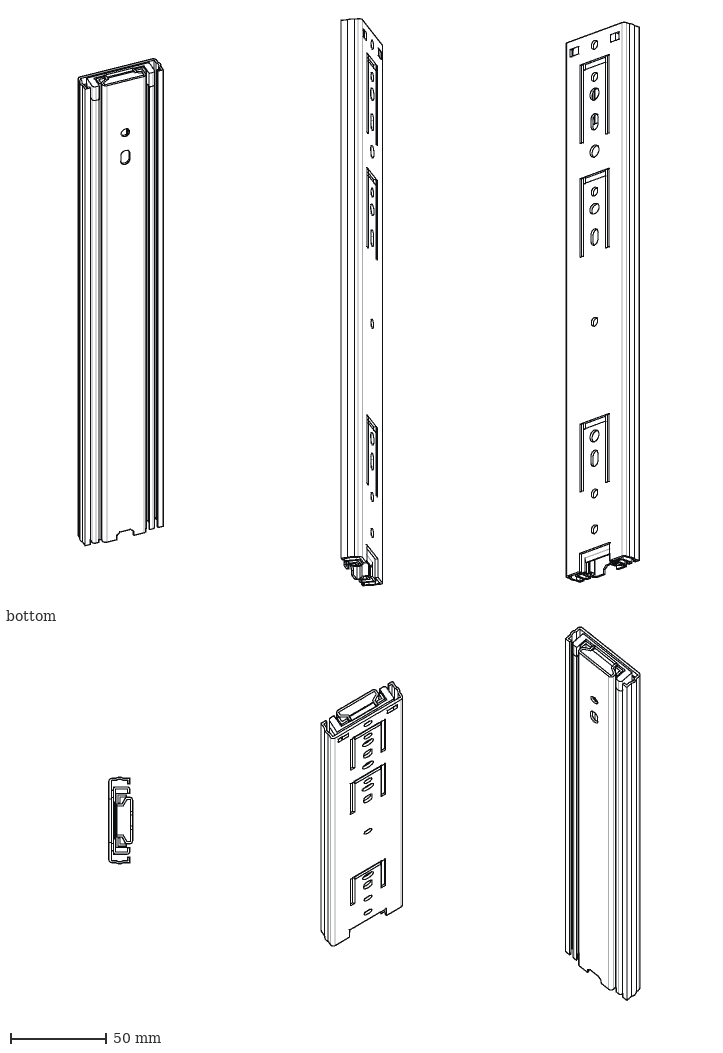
import cadquery as cq

LENGTH = 300.0
TOP = LENGTH / 2
BOTTOM = -LENGTH / 2
SLIDE_WIDTH = 45.5
SLIDE_DEPTH = 12.5
SHEET = 1.2

OUTER_WEB = 1.5
OUTER_HALF_WIDTH = 22.2
BEND_RADIUS = 1.8
BEAD_HALF_WIDTH = SLIDE_WIDTH / 2
BEAD_START = 4.0
BEAD_END = 7.5
FLANGE_END = 11.0
OUTER_LIP_TIP = 19.2

SMALL_HOLES = [143.0, 125.0, 60.5, -12.5, -109.2, -129.3]
SMALL_RADIUS = 2.5
LARGE_HOLES = [115.5, 83.5, -76.8]
LARGE_RADIUS = 3.3
OVAL_HOLE = 51.0
OVAL_LENGTH = 7.0
OVAL_HEIGHT = 5.7
SLOTS = [100.0, 35.0, -89.5]
SLOT_LENGTH = 9.0
SLOT_WIDTH = 5.0

TONGUES = [(134.7, 90.5), (70.8, 26.7), (-67.2, -105.3)]
TONGUE_HALF_WIDTH = 8.0
GROOVE_SLOPE = 1.0
GROOVE_OUTER = 10.8
GROOVE_DEPTH = 1.0
SLIT_HEIGHT = 3.5

WINDOW_INNER = 12.0
WINDOW_OUTER = 18.3
WINDOW_BOTTOM = 141.3
WINDOW_TOP = 145.5
PEG_OUTER = 16.0

OUTER_NOTCH_HALF_WIDTH = 11.5
OUTER_NOTCH_TOP = -139.8

MIDDLE_BACK = 2.5
MIDDLE_HALF_WIDTH = 17.7
MIDDLE_LIP_TIP = 14.5
MIDDLE_CORNER = 1.5
MIDDLE_NOTCH_HALF_WIDTH = 9.5
MIDDLE_NOTCH_TOP = -144.5
MIDDLE_BEVEL_HEIGHT = 2.5
MIDDLE_WINDOW_HALF_WIDTH = 4.8
MIDDLE_WINDOW_TOP = 120.0
MIDDLE_WINDOW_BOTTOM = 100.0

INNER_HALF_WIDTH = 12.3
INNER_CORNER = 1.8
INNER_RACE_END = 9.0
INNER_RACE_START = 7.0
INNER_WAIST = 8.7
INNER_EDGE = 4.2
INNER_HOLE = 116.0
INNER_NOTCH_HALF_WIDTH = 4.8
INNER_NOTCH_TOP = -145.5
INNER_NOTCH_CHAMFER = 1.8

RETAINER_BACK = 4.8
RETAINER_FRONT = 9.3
RETAINER_OUTER = 13.5
RETAINER_BACK_TIP = 9.0

BUMPER_HEIGHT = 9.0
BUMPER_ARM_TIP = 14.0
BUMPER_SHOULDER = 4.0
BUMPER_SHOULDER_TIP = 7.8
STOP_HEIGHT = 17.0
STOP_STEP = 6.5
STOP_STEP_DEPTH = 1.2


def box(x0, x1, y0, y1, z0, z1):
    """Box between two corners."""
    return cq.Workplane("XY").box(x1 - x0, y1 - y0, z1 - z0, centered=False).translate((x0, y0, z0))


def symmetric_bar(half_outline, z0, z1):
    """Bar along Z whose section is the half outline (Y >= 0) and its mirror image."""
    mirrored = [(x, -y) for x, y in reversed(half_outline)]
    outline = cq.Workplane("XY", origin=(0, 0, z0)).polyline(half_outline + mirrored)
    return outline.close().extrude(z1 - z0)


def web_plane():
    """Sketch plane on the back face of the slide, with local axes along Y and Z."""
    return cq.Workplane("YZ")


def round_cutters(heights, radius, depth):
    return web_plane().pushPoints([(0, z) for z in heights]).circle(radius).extrude(depth)


def slot_cutters(heights, depth):
    centres = web_plane().pushPoints([(0, z) for z in heights])
    return centres.slot2D(SLOT_LENGTH, SLOT_WIDTH, 90).extrude(depth)


def outer_hole_cutters():
    """Cutters for the mounting holes of the outer rail."""
    oval = web_plane().center(0, OVAL_HOLE).ellipse(OVAL_LENGTH / 2, OVAL_HEIGHT / 2).extrude(OUTER_WEB)
    cutters = oval.union(round_cutters(SMALL_HOLES, SMALL_RADIUS, OUTER_WEB))
    cutters = cutters.union(round_cutters(LARGE_HOLES, LARGE_RADIUS, OUTER_WEB))
    return cutters.union(slot_cutters(SLOTS, OUTER_WEB))


def tongue_cutter(top, bottom):
    """Two grooves in the back of the web and a through slit that joins their upper ends."""
    section = [
        (0, TONGUE_HALF_WIDTH),
        (GROOVE_DEPTH, TONGUE_HALF_WIDTH + GROOVE_SLOPE),
        (GROOVE_DEPTH, GROOVE_OUTER),
        (0, GROOVE_OUTER),
    ]
    groove = cq.Workplane("XY", origin=(0, 0, bottom)).polyline(section).close().extrude(top - bottom)
    slit = box(0, OUTER_WEB, -TONGUE_HALF_WIDTH, TONGUE_HALF_WIDTH, top - SLIT_HEIGHT, top)
    return slit.union(groove).union(groove.mirror("XZ"))


def flange_outline(outline, face, direction):
    """Continue an outline over the arched bead of a flange face at Y = face, towards +X or -X."""
    first, last = (BEAD_START, BEAD_END) if direction > 0 else (BEAD_END, BEAD_START)
    crest = ((BEAD_START + BEAD_END) / 2, face + BEAD_HALF_WIDTH - OUTER_HALF_WIDTH)
    return outline.lineTo(first, face).threePointArc(crest, (last, face))


def make_outer_rail_half():
    """The half of the outer rail at Y >= 0, without holes."""
    inside = OUTER_HALF_WIDTH - SHEET
    outline = cq.Workplane("XY", origin=(0, 0, BOTTOM)).moveTo(0, 0).lineTo(0, OUTER_HALF_WIDTH)
    outline = flange_outline(outline, OUTER_HALF_WIDTH, 1)
    outline = outline.lineTo(FLANGE_END, OUTER_HALF_WIDTH).lineTo(FLANGE_END, OUTER_LIP_TIP)
    outline = outline.lineTo(FLANGE_END - SHEET, OUTER_LIP_TIP).lineTo(FLANGE_END - SHEET, inside)
    outline = flange_outline(outline, inside, -1)
    half = outline.lineTo(OUTER_WEB, inside).lineTo(OUTER_WEB, 0).close().extrude(LENGTH)

    web_corner = cq.selectors.NearestToPointSelector((0, OUTER_HALF_WIDTH, 0))
    return half.edges(web_corner).fillet(BEND_RADIUS)


def make_outer_rail():
    half = make_outer_rail_half()
    rail = half.union(half.mirror("XZ")).clean()

    rail = rail.cut(outer_hole_cutters())
    for top, bottom in TONGUES:
        rail = rail.cut(tongue_cutter(top, bottom))
    window = box(0, OUTER_WEB, WINDOW_INNER, WINDOW_OUTER, WINDOW_BOTTOM, WINDOW_TOP)
    rail = rail.cut(window).cut(window.mirror("XZ"))
    notch = box(0, OUTER_WEB, -OUTER_NOTCH_HALF_WIDTH, OUTER_NOTCH_HALF_WIDTH, BOTTOM, OUTER_NOTCH_TOP)
    return rail.cut(notch)


def make_middle_rail():
    front = MIDDLE_BACK + SHEET
    inside = MIDDLE_HALF_WIDTH - SHEET
    half_outline = [
        (MIDDLE_BACK, MIDDLE_HALF_WIDTH),
        (FLANGE_END, MIDDLE_HALF_WIDTH),
        (FLANGE_END, MIDDLE_LIP_TIP),
        (FLANGE_END - SHEET, MIDDLE_LIP_TIP),
        (FLANGE_END - SHEET, inside),
        (front, inside),
    ]
    rail = symmetric_bar(half_outline, BOTTOM, TOP - BUMPER_HEIGHT)
    rail = rail.edges("|Z and (<X or >X)").edges("<Y or >Y").fillet(MIDDLE_CORNER)

    window = box(
        0, front + SHEET,
        -MIDDLE_WINDOW_HALF_WIDTH, MIDDLE_WINDOW_HALF_WIDTH,
        MIDDLE_WINDOW_BOTTOM, MIDDLE_WINDOW_TOP,
    )
    notch_side = [
        (0, BOTTOM),
        (front, BOTTOM),
        (front, MIDDLE_NOTCH_TOP),
        (MIDDLE_BACK + SHEET / 2, MIDDLE_NOTCH_TOP),
        (MIDDLE_BACK, MIDDLE_NOTCH_TOP + MIDDLE_BEVEL_HEIGHT),
        (0, MIDDLE_NOTCH_TOP + MIDDLE_BEVEL_HEIGHT),
    ]
    notch = cq.Workplane("XZ").polyline(notch_side).close().extrude(MIDDLE_NOTCH_HALF_WIDTH, both=True)
    return rail.cut(window).cut(notch)


def make_inner_rail():
    back = SLIDE_DEPTH - SHEET
    half_outline = [
        (SLIDE_DEPTH, INNER_HALF_WIDTH),
        (INNER_RACE_END, INNER_HALF_WIDTH),
        (INNER_RACE_START, INNER_WAIST),
        (INNER_EDGE, INNER_WAIST),
        (INNER_EDGE, INNER_WAIST - SHEET),
        (INNER_RACE_START + SHEET / 2, INNER_WAIST - SHEET),
        (INNER_RACE_END + SHEET / 2, INNER_HALF_WIDTH - SHEET),
        (back, INNER_HALF_WIDTH - SHEET),
    ]
    rail = symmetric_bar(half_outline, BOTTOM, TOP)
    rail = rail.edges("|Z and >X").fillet(INNER_CORNER)

    notch = box(
        back - SHEET, SLIDE_DEPTH,
        -INNER_NOTCH_HALF_WIDTH, INNER_NOTCH_HALF_WIDTH,
        BOTTOM, INNER_NOTCH_TOP,
    )
    notch = notch.edges("|X and >Z").chamfer(INNER_NOTCH_CHAMFER)
    rail = rail.cut(round_cutters([INNER_HOLE], SMALL_RADIUS, SLIDE_DEPTH))
    rail = rail.cut(slot_cutters(SLOTS[:1], SLIDE_DEPTH))
    return rail.cut(notch)


def make_retainer(side):
    """Angle-shaped ball retainer; side is +1 or -1 along Y."""
    inside = RETAINER_OUTER - SHEET
    outline = [
        (RETAINER_BACK, RETAINER_BACK_TIP),
        (RETAINER_BACK, RETAINER_OUTER),
        (RETAINER_FRONT, RETAINER_OUTER),
        (RETAINER_FRONT, inside),
        (RETAINER_BACK + SHEET, inside),
        (RETAINER_BACK + SHEET, RETAINER_BACK_TIP),
    ]
    placed = [(x, side * y) for x, y in outline]
    return cq.Workplane("XY", origin=(0, 0, BOTTOM)).polyline(placed).close().extrude(LENGTH)


def make_bumper():
    """Yoke over the upper end of the middle rail, with a peg in each window of the outer rail."""
    bottom = TOP - BUMPER_HEIGHT
    half_outline = [
        (MIDDLE_BACK, MIDDLE_HALF_WIDTH),
        (FLANGE_END, MIDDLE_HALF_WIDTH),
        (FLANGE_END, BUMPER_ARM_TIP),
        (BUMPER_SHOULDER, BUMPER_ARM_TIP),
        (BUMPER_SHOULDER, BUMPER_SHOULDER_TIP + SHEET),
        (MIDDLE_BACK + SHEET, BUMPER_SHOULDER_TIP),
    ]
    yoke = symmetric_bar(half_outline, bottom, TOP)
    yoke = yoke.edges("|Z and >X").edges("<Y or >Y").fillet(MIDDLE_CORNER)
    peg = box(0, MIDDLE_BACK + SHEET / 2, WINDOW_INNER, PEG_OUTER, WINDOW_BOTTOM, WINDOW_TOP)
    return yoke.union(peg).union(peg.mirror("XZ"))


def make_stop():
    """Stepped block filling the upper end of the inner rail."""
    bottom = TOP - STOP_HEIGHT
    narrow = INNER_WAIST - SHEET
    wide = INNER_HALF_WIDTH - SHEET
    half_outline = [
        (INNER_EDGE, narrow),
        (INNER_RACE_START + SHEET / 2, narrow),
        (INNER_RACE_END + SHEET / 2, wide),
        (SLIDE_DEPTH - SHEET, wide),
    ]
    block = symmetric_bar(half_outline, bottom, TOP)
    step = box(INNER_EDGE, STOP_STEP, -narrow, narrow, TOP - STOP_STEP_DEPTH, TOP)
    return block.cut(step)


outer_rail = make_outer_rail()
middle_rail = make_middle_rail()
inner_rail = make_inner_rail()
bumper = make_bumper()
stop = make_stop()
retainers = [make_retainer(side) for side in (-1, 1)]

result = cq.Compound.makeCompound(
    [
        outer_rail.val(),
        middle_rail.val(),
        inner_rail.val(),
        bumper.val(),
        stop.val(),
        *[retainer.val() for retainer in retainers],
    ]
)